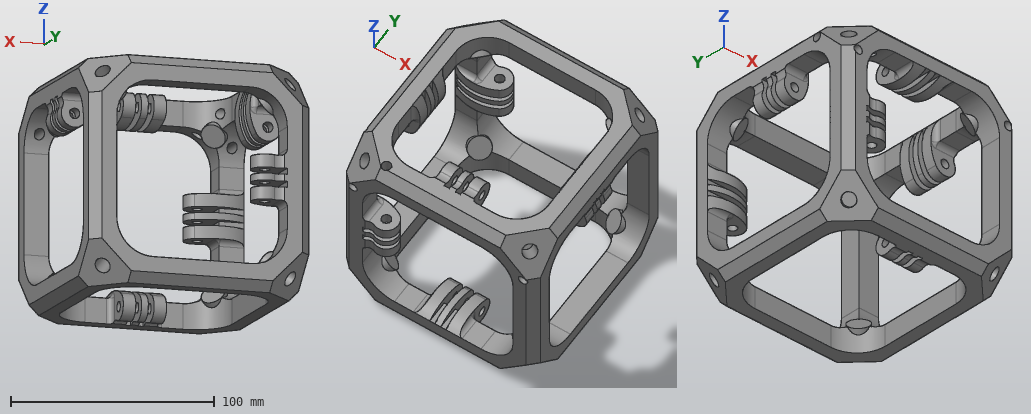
import cadquery as cq
import math

SIZE = 114.3
HALF = SIZE / 2
BAR = 12.9
WINDOW_RADIUS = 18.7
EDGE_CHAMFER = 5.0
CORNER_CUT = 25.4

SOCKET_DIAMETER = 7.9
BOSS_DIAMETER = 12.7
BOSS_LENGTH = 16.1
SOCKET_DEPTH = BOSS_LENGTH - (BOSS_DIAMETER - SOCKET_DIAMETER) / 2

PIN_DIAMETER = 5.1
PIN_EDGE_INSET = 7.1
PIN_END_INSET = 22.3
PIN_DEPTH = 1.5 * BAR

KNUCKLE_REACH = 16.3
KNUCKLE_RADIUS = 7.0
KNUCKLE_U = KNUCKLE_REACH - KNUCKLE_RADIUS
KNUCKLE_V = -6.0
BACK_RADIUS = 2 * BAR
BACK_V = -BACK_RADIUS * math.sqrt(3) / 2
GROOVE_RADIUS = 4.6
GROOVE_U = 4.5
HINGE_PIN_DIAMETER = 5.1

MIDDLE_FINGER = 3.5
FINGER_GAP = 3.0
OUTER_FINGER = 6.5
OUTER_START = MIDDLE_FINGER / 2 + FINGER_GAP
HINGE_HALF_WIDTH = OUTER_START + OUTER_FINGER
ROOT_RADIUS = 3.1

DIAGONAL = (-1, -1, 1)
THIRD_TURN = 120
ORIGIN = (0, 0, 0)
SIGNS = (-1, 1)


def third_turns(shape):
    """The shape and its two copies turned about the diagonal."""
    return [shape.rotate(ORIGIN, DIAGONAL, turn * THIRD_TURN) for turn in range(3)]


def corner_plane(sx, sy, sz):
    """Plane of the flat cut on one cube corner, with its normal pointing outward."""
    offset = HALF - CORNER_CUT / 3
    return cq.Plane(
        origin=(sx * offset, sy * offset, sz * offset),
        xDir=(sx, -sy, 0),
        normal=(sx, sy, sz),
    )


CORNERS = [corner_plane(sx, sy, sz) for sx in SIGNS for sy in SIGNS for sz in SIGNS]


def make_frame():
    """Open cube frame with chamfered edges and flat-cut corners."""
    frame = cq.Workplane("XY").box(SIZE, SIZE, SIZE).edges().chamfer(EDGE_CHAMFER)
    window = SIZE - 2 * BAR
    for plane, axis in (("XY", "Z"), ("YZ", "X"), ("XZ", "Y")):
        opening = (
            cq.Workplane(plane)
            .rect(window, window)
            .extrude(SIZE, both=True)
            .edges("|" + axis)
            .fillet(WINDOW_RADIUS)
        )
        frame = frame.cut(opening)
    for plane in CORNERS:
        frame = frame.cut(cq.Workplane(plane).rect(SIZE, SIZE).extrude(HALF))
    return frame


def corner_cylinder(plane, diameter, depth):
    """Cylinder running from a corner cut toward the middle of the cube."""
    return cq.Workplane(plane).circle(diameter / 2).extrude(-depth)


def boss_clearance(plane):
    """Space beyond the end of a boss, which trims the frame's inner point flush with it."""
    return corner_cylinder(plane, BOSS_DIAMETER, HALF).cut(
        corner_cylinder(plane, BOSS_DIAMETER, BOSS_LENGTH)
    )


def on_circle(center_u, center_v, radius, angle):
    """Point on a circle of the hinge profile."""
    return (center_u + radius * math.cos(angle), center_v + radius * math.sin(angle))


def hinge_profile():
    """Closed outline of a finger on a bar whose inner edge is at u = 0, v = 0."""
    center_distance = KNUCKLE_RADIUS + GROOVE_RADIUS
    groove_v = KNUCKLE_V - math.sqrt(center_distance**2 - (KNUCKLE_U - GROOVE_U) ** 2)
    back_angle = math.atan2(KNUCKLE_V - BACK_V, KNUCKLE_U)
    neck_angle = math.atan2(groove_v - KNUCKLE_V, GROOVE_U - KNUCKLE_U)
    groove_end_angle = neck_angle + math.pi
    groove_start_angle = math.pi - math.asin((-BAR - groove_v) / GROOVE_RADIUS)
    groove_start = on_circle(GROOVE_U, groove_v, GROOVE_RADIUS, groove_start_angle)
    groove_middle = on_circle(
        GROOVE_U, groove_v, GROOVE_RADIUS, (groove_start_angle + groove_end_angle) / 2
    )
    return (
        cq.Workplane("XY")
        .moveTo(-BAR, 0)
        .threePointArc(
            (0, BACK_V + BACK_RADIUS),
            on_circle(KNUCKLE_U, KNUCKLE_V, KNUCKLE_RADIUS, back_angle),
        )
        .threePointArc(
            (KNUCKLE_REACH, KNUCKLE_V),
            on_circle(KNUCKLE_U, KNUCKLE_V, KNUCKLE_RADIUS, neck_angle),
        )
        .threePointArc(groove_middle, groove_start)
        .lineTo(0, -BAR)
        .close()
    )


def finger(start, width):
    """One hinge finger, from the given position along the bar."""
    return hinge_profile().extrude(width).translate((0, 0, start))


def fillet_section(plane):
    """Section of the root fillet: local x leaves the bar face, local y runs along the bar."""
    inset = ROOT_RADIUS * (1 - math.sqrt(0.5))
    return (
        cq.Workplane(plane)
        .moveTo(0, HINGE_HALF_WIDTH)
        .lineTo(ROOT_RADIUS, HINGE_HALF_WIDTH)
        .threePointArc(
            (inset, HINGE_HALF_WIDTH + inset),
            (0, HINGE_HALF_WIDTH + ROOT_RADIUS),
        )
        .close()
    )


def root_fillets():
    """Concave fillets from both ends of the hinge onto the bar, wrapped around its inner edge."""
    away_from_bar = cq.Plane(origin=ORIGIN, xDir=(1, 0, 0), normal=(0, -1, 0))
    over_bar = cq.Plane(origin=ORIGIN, xDir=(0, 1, 0), normal=(1, 0, 0))
    fillet = fillet_section(away_from_bar).extrude(BAR)
    fillet = fillet.union(fillet_section(over_bar).extrude(-BAR))
    fillet = fillet.union(fillet_section(over_bar).revolve(90, ORIGIN, (0, -1, 0)))
    fillet = fillet.intersect(hinge_profile().extrude(HINGE_HALF_WIDTH + ROOT_RADIUS))
    return fillet.union(fillet.mirror("XY"))


def make_hinge():
    """Three-finger hinge with its middle at the origin and the bar along Z."""
    hinge = finger(-MIDDLE_FINGER / 2, MIDDLE_FINGER)
    for start in (OUTER_START, -HINGE_HALF_WIDTH):
        hinge = hinge.union(finger(start, OUTER_FINGER))
    pin = (
        cq.Workplane("XY")
        .center(KNUCKLE_U, KNUCKLE_V)
        .circle(HINGE_PIN_DIAMETER / 2)
        .extrude(SIZE, both=True)
    )
    return hinge.union(root_fillets()).cut(pin)


def make_hinge_pair():
    """Mirrored hinges on the two upright bars of the -X side."""
    hinge = make_hinge().translate((BAR - HALF, BAR - HALF, 0))
    return hinge.union(hinge.mirror("XZ"))


def pin_hole(x):
    """Hole from the -Y side into an upright bar near its top end."""
    return (
        cq.Workplane("XZ", origin=(x, -HALF, HALF - PIN_END_INSET))
        .circle(PIN_DIAMETER / 2)
        .extrude(-PIN_DEPTH)
    )


result = make_frame()
for hinges in third_turns(make_hinge_pair()):
    result = result.union(hinges)
for plane in CORNERS:
    result = result.union(corner_cylinder(plane, BOSS_DIAMETER, BOSS_LENGTH))
for plane in CORNERS:
    result = result.cut(boss_clearance(plane))
    result = result.cut(corner_cylinder(plane, SOCKET_DIAMETER, SOCKET_DEPTH))
pin_x = HALF - PIN_EDGE_INSET
for hole in third_turns(pin_hole(-pin_x)) + [pin_hole(pin_x)]:
    result = result.cut(hole)